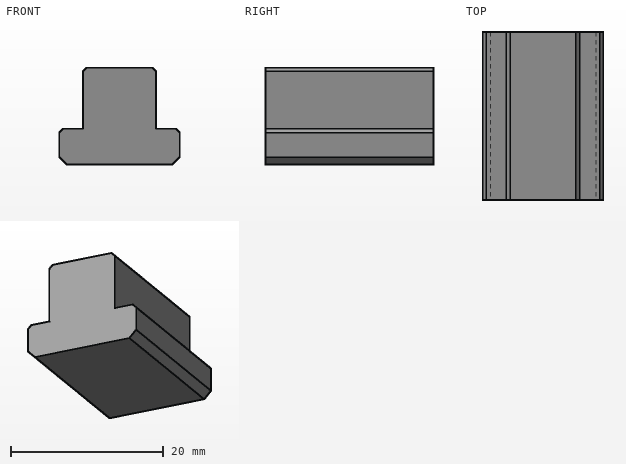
import cadquery as cq

length = 22.0
flange_width = 15.8
total_height = 12.7

stem_width = 9.6
stem_height = 8.0
flange_height = total_height - stem_height

top_chamfer = 0.5
bottom_chamfer = 1.0


def make_flange():
    """Wide lower bar, with larger chamfers on its bottom edges."""
    bar = cq.Workplane("XY").box(
        flange_width, length, flange_height, centered=(True, True, False)
    )
    bar = bar.faces("<Z").edges("|Y").chamfer(bottom_chamfer)
    return bar.faces(">Z").edges("|Y").chamfer(top_chamfer)


def make_stem():
    """Narrow upper bar standing on the flange, chamfered at the top."""
    bar = cq.Workplane("XY").box(
        stem_width, length, total_height, centered=(True, True, False)
    )
    return bar.faces(">Z").edges("|Y").chamfer(top_chamfer)


result = make_flange().union(make_stem()).clean()